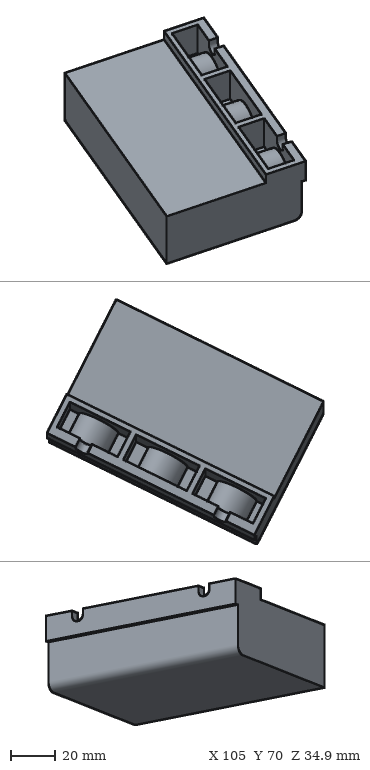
import cadquery as cq

length = 105.0
depth = 70.0
height = 34.9
body_height = 29.6

header_depth = 20.1
header_height = 12.0
header_overhang = 2.0
bottom_edge_radius = 4.0

cell_count = 3
wall = 2.9
front_wall = 2.6
back_wall = 4.5
cell_pitch = length / cell_count

hump_radius = 10.0
hump_top_drop = 7.8

notch_width = 6.0
notch_depth = 5.5

back_y = depth
body_back_y = back_y - header_overhang
header_front_y = back_y - header_depth
pocket_front_y = header_front_y + front_wall
pocket_back_y = back_y - back_wall
hump_axis_z = height - hump_top_drop - hump_radius
pocket_floor_z = hump_axis_z


def box(x_range, y_range, z_range):
    """Axis-aligned block between the given limits."""
    (x0, x1), (y0, y1), (z0, z1) = x_range, y_range, z_range
    return cq.Workplane("XY").box(x1 - x0, y1 - y0, z1 - z0, centered=False).translate((x0, y0, z0))


def cylinder_along_y(x, z, radius, y0, y1):
    """Round bar parallel to Y between y0 and y1."""
    return cq.Workplane("XZ", origin=(x, y0, z)).circle(radius).extrude(y0 - y1)


def cell_center(index):
    return (index + 0.5) * cell_pitch


def make_body():
    body = box((0, length), (0, body_back_y), (0, body_height))
    body = body.edges("|X and >Y and <Z").fillet(bottom_edge_radius)
    header = box((0, length), (header_front_y, back_y), (height - header_height, height))
    return body.union(header)


def make_pocket(index):
    """Compartment between full end walls or shared dividers, half-round hump left standing."""
    x0 = wall if index == 0 else index * cell_pitch + wall / 2
    x1 = length - wall if index == cell_count - 1 else (index + 1) * cell_pitch - wall / 2
    pocket = box((x0, x1), (pocket_front_y, pocket_back_y), (pocket_floor_z, height))
    hump = cylinder_along_y(
        cell_center(index), hump_axis_z, hump_radius, pocket_front_y, pocket_back_y
    )
    return pocket.cut(hump)


def make_notch(index):
    x = cell_center(index)
    radius = notch_width / 2
    round_z = height - notch_depth + radius
    slot = box((x - radius, x + radius), (pocket_back_y, back_y), (round_z, height))
    return slot.union(cylinder_along_y(x, round_z, radius, pocket_back_y, back_y))


result = make_body()
for cell in range(cell_count):
    result = result.cut(make_pocket(cell))
for cell in (0, cell_count - 1):
    result = result.cut(make_notch(cell))